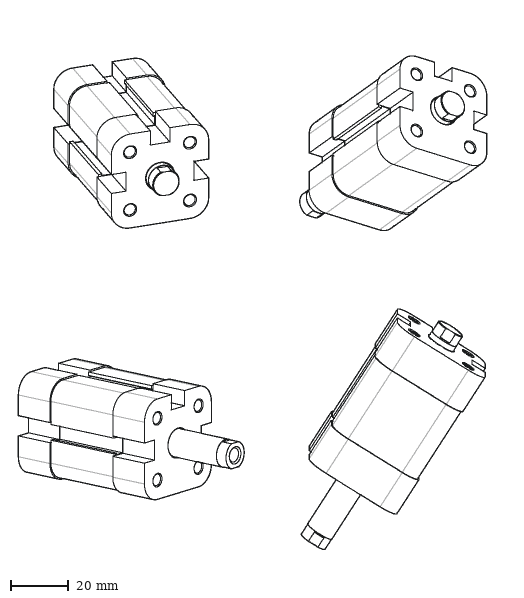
import cadquery as cq
import math


total_length = 89.0
cap_start = 25.8
cap_length = 14.3
tube_length = 28.4
tube_start = cap_start + cap_length

cap_side = 36.0
surface_step = 0.5
tube_side = cap_side - 2 * surface_step
cap_corner_radius = 6.9
tube_corner_radius = cap_corner_radius - surface_step

cap_slot_width = 7.2
tube_slot_width = 6.8
cap_slot_floor = 12.55
tube_slot_floor = 12.7
lip_gap = 5.6
lip_thickness = 1.3
slot_angles = (0, 90, -90)

screw_offset = cap_side / 2 - cap_corner_radius
screw_hole_diameter = 4.1
hole_chamfer = 0.4

rod_diameter = 10.0
rod_end_diameter = 9.8
rod_tip_chamfer = 0.3
flat_spacing = 9.0
flat_length = 3.8
flat_ramp = (rod_diameter - flat_spacing) / 2
rod_end_length = flat_length + flat_ramp
bore_diameter = 5.0
bore_mouth_diameter = 6.1
bore_depth = 10.7
drill_tip_angle = 118.0


def bar(side, corner_radius, start, length):
    """Square bar with rounded long edges."""
    block = cq.Workplane("YZ", origin=(start, 0, 0)).rect(side, side).extrude(length)
    return block.edges("|X").fillet(corner_radius)


def slot_cutters(width, bottom, top, start, length):
    """Cutters for the three slots, between two distances from the rod axis."""
    block = cq.Workplane("XY", origin=(start, 0, bottom))
    block = block.box(length, width, top - bottom, centered=(False, True, False))
    cutters = [block.rotate((0, 0, 0), (1, 0, 0), angle).val() for angle in slot_angles]
    return cq.Workplane(cq.Compound.makeCompound(cutters))


def chamfered_hole(diameter, start, y, z):
    """Cutter for a hole through a cap, chamfered at the outer face."""
    radius = diameter / 2
    mouth = radius + hole_chamfer
    profile = [(0, 0), (0, mouth), (hole_chamfer, radius), (cap_length, radius), (cap_length, 0)]
    cutter = cq.Workplane("XY").polyline(profile).close().revolve(360, (0, 0), (1, 0))
    return cutter.translate((start, y, z))


def make_front_cap():
    """Cap whose outer face points to -X."""
    cap = bar(cap_side, cap_corner_radius, cap_start, cap_length)
    cap = cap.cut(slot_cutters(cap_slot_width, cap_slot_floor, cap_side / 2, cap_start, cap_length))
    cap = cap.cut(chamfered_hole(rod_diameter, cap_start, 0, 0))
    for y in (-screw_offset, screw_offset):
        for z in (-screw_offset, screw_offset):
            cap = cap.cut(chamfered_hole(screw_hole_diameter, cap_start, y, z))
    return cap


def make_rear_cap():
    """Mirror image of the front cap at the other end of the tube."""
    tube_middle = tube_start + tube_length / 2
    return make_front_cap().mirror("YZ", (tube_middle, 0, 0))


def make_tube():
    """Tube with lipped slots, and plain holes for the rod and the screws."""
    tube = bar(tube_side, tube_corner_radius, tube_start, tube_length)
    lip_bottom = tube_side / 2 - lip_thickness
    tube = tube.cut(slot_cutters(tube_slot_width, tube_slot_floor, lip_bottom, tube_start, tube_length))
    tube = tube.cut(slot_cutters(lip_gap, tube_slot_floor, tube_side / 2, tube_start, tube_length))
    tube = tube.faces("<X").workplane(origin=(tube_start, 0, 0)).hole(rod_diameter)
    screw_square = 2 * screw_offset
    face = tube.faces("<X").workplane(origin=(tube_start, 0, 0))
    return face.rect(screw_square, screw_square, forConstruction=True).vertices().hole(screw_hole_diameter)


def flat_cutter(tip, inward):
    """Cutter for the upper flat at one rod tip; inward is the X direction into the rod."""
    flat_end = tip + inward * flat_length
    ramp_end = flat_end + inward * flat_ramp
    flat_height = flat_spacing / 2
    rod_top = rod_diameter / 2
    profile = [(tip, flat_height), (flat_end, flat_height), (ramp_end, rod_top), (tip, rod_top)]
    return cq.Workplane("XZ").polyline(profile).close().extrude(rod_diameter / 2, both=True)


def drilled_bore():
    """Cutter for the blind bore in the long rod end: chamfered mouth and conical bottom."""
    radius = bore_diameter / 2
    mouth = bore_mouth_diameter / 2
    cone_tip = bore_depth + radius / math.tan(math.radians(drill_tip_angle / 2))
    profile = [(0, 0), (0, mouth), (mouth - radius, radius), (bore_depth, radius), (cone_tip, 0)]
    return cq.Workplane("XY").polyline(profile).close().revolve(360, (0, 0), (1, 0))


def make_rod():
    """Through rod with turned-down ends, two wrench flats at each end and a bore in the long end."""
    rod = cq.Workplane("YZ").circle(rod_end_diameter / 2).extrude(total_length)
    rod = rod.faces(">X").chamfer(rod_tip_chamfer)
    full_length = total_length - 2 * rod_end_length
    full_section = cq.Workplane("YZ", origin=(rod_end_length, 0, 0))
    rod = rod.union(full_section.circle(rod_diameter / 2).extrude(full_length))
    for tip, inward in ((0, 1), (total_length, -1)):
        upper_flat = flat_cutter(tip, inward)
        rod = rod.cut(upper_flat).cut(upper_flat.mirror("XY"))
    return rod.cut(drilled_bore())


front_cap = make_front_cap()
tube = make_tube()
rear_cap = make_rear_cap()
rod = make_rod()

result = cq.Compound.makeCompound([front_cap.val(), tube.val(), rear_cap.val(), rod.val()])